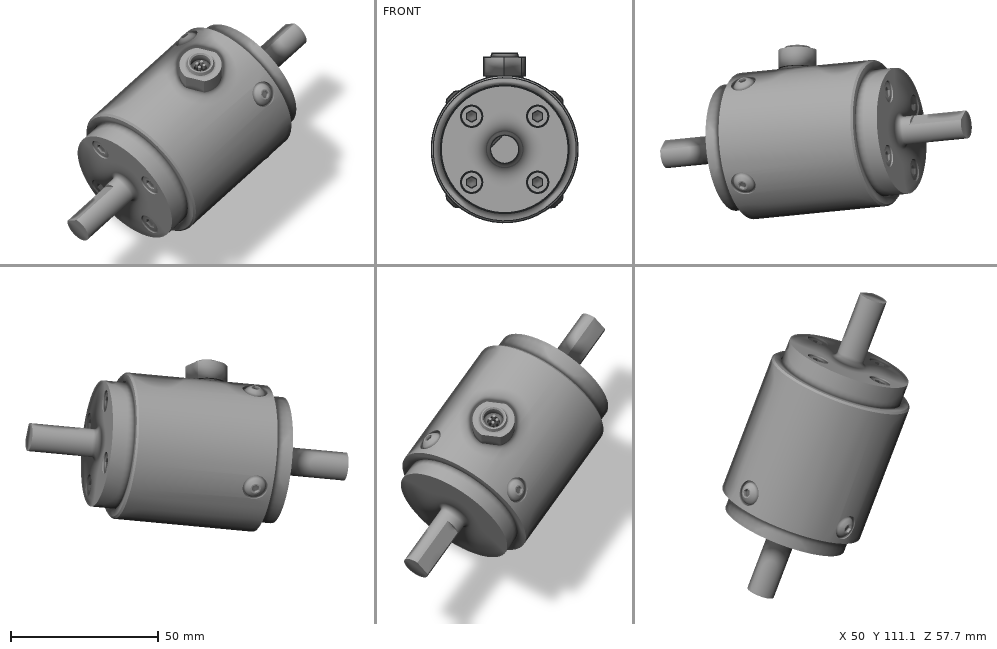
import cadquery as cq
import math

total_length = 111.1
body_radius = 25.0
body_front_y = -24.0
body_rear_y = 25.3
body_chamfer = 0.7
flange_radius = 21.6
flange_face_y = 31.7
flange_gap_width = 0.3
flange_gap_depth = 1.1

shaft_radius = 4.8
shaft_fillet = 1.5
shaft_flat_length = 18.9
shaft_flat_offset = 3.8
shaft_flat_angle = 45.0

cap_screw_offset = 11.2
cap_bore_diameter = 7.6
cap_head_diameter = 6.9
cap_bore_depth = 2.2
cap_head_recess = 0.5
cap_hex_flats = 3.5
cap_hex_depth = 1.7
cap_cone_depth = 1.2

button_y = 19.3
button_bore_diameter = 8.7
button_seat_radius = 23.8
button_head_diameter = 7.9
button_head_height = 2.2
button_top_diameter = 3.6
button_bulge = 0.28
button_hex_flats = 2.6
button_hex_depth = 1.3
button_angles = (45, 135, 225, 315)

hex_half_angle = 30.0

connector_y = 6.9
connector_top_z = 32.7
nut_top_z = 31.3
nut_bottom_z = 24.9
nut_diameter = 14.3
nut_flats = 12.8
nut_turn = 25.0
neck_diameter = 12.6
neck_bottom_z = 22.8
rim_base_diameter = 9.6
rim_top_diameter = 8.7
mouth_diameter = 7.9
bore_diameter = 6.9
bore_depth = 3.3
socket_diameter = 4.3
socket_depth = 2.2
pin_diameter = 1.01
pin_circle_diameter = 2.5
pin_count = 4
pin_recess = 1.1


def cylinder_y(radius, y_start, y_end):
    plane = cq.Workplane("XZ", origin=(0, y_start, 0))
    return plane.circle(radius).extrude(y_start - y_end)


def make_housing():
    body = cylinder_y(body_radius, body_front_y, body_rear_y).faces("<Y").chamfer(body_chamfer)
    gap = (
        cq.Workplane("XZ", origin=(0, body_front_y, 0))
        .circle(flange_radius + flange_gap_width)
        .circle(flange_radius)
        .extrude(-flange_gap_depth)
    )
    flanges = cylinder_y(flange_radius, -flange_face_y, flange_face_y)
    return body.union(flanges).cut(gap)


def make_shaft():
    half_length = total_length / 2
    fillet_radius = shaft_radius + shaft_fillet
    fillet_end_y = flange_face_y + shaft_fillet
    bow = shaft_fillet * (1 - math.sqrt(0.5))
    shaft = (
        cq.Workplane("XY")
        .moveTo(0, -half_length)
        .lineTo(shaft_radius, -half_length)
        .lineTo(shaft_radius, -fillet_end_y)
        .threePointArc((shaft_radius + bow, -flange_face_y - bow), (fillet_radius, -flange_face_y))
        .lineTo(fillet_radius, flange_face_y)
        .threePointArc((shaft_radius + bow, flange_face_y + bow), (shaft_radius, fillet_end_y))
        .lineTo(shaft_radius, half_length)
        .lineTo(0, half_length)
        .close()
        .revolve(360, (0, 0, 0), (0, 1, 0))
    )
    for side in (-1, 1):
        flat_center_y = side * (half_length - shaft_flat_length / 2)
        flat = (
            cq.Workplane("XY", origin=(0, flat_center_y, shaft_flat_offset))
            .box(2 * shaft_radius, shaft_flat_length, shaft_radius, centered=(True, True, False))
            .rotate((0, 0, 0), (0, 1, 0), -shaft_flat_angle)
        )
        shaft = shaft.cut(flat)
    return shaft


def make_cap_screw_cut():
    """Clearance ring, sunken head top and cone-bottomed hex socket, opening towards +Z at z = 0."""
    ring = (
        cq.Workplane("XY")
        .circle(cap_bore_diameter / 2)
        .circle(cap_head_diameter / 2)
        .extrude(-cap_bore_depth)
    )
    recess = cq.Workplane("XY").circle(cap_bore_diameter / 2).extrude(-cap_head_recess)
    corner_radius = cap_hex_flats / 2 / math.cos(math.radians(hex_half_angle))
    cone_top = -cap_head_recess - cap_hex_depth
    cone_bottom = cone_top - cap_cone_depth
    pointed_bore = (
        cq.Workplane("XZ")
        .lineTo(corner_radius, 0)
        .lineTo(corner_radius, cone_top)
        .lineTo(0, cone_bottom)
        .close()
        .revolve(360, (0, 0, 0), (0, 1, 0))
    )
    hexagon = cq.Workplane("XY").polygon(6, cap_hex_flats, circumscribed=True).extrude(cone_bottom)
    socket = hexagon.intersect(pointed_bore)
    return ring.union(recess).union(socket)


def cut_cap_screws(part):
    tool = make_cap_screw_cut().rotate((0, 0, 0), (1, 0, 0), 90)
    for x in (-cap_screw_offset, cap_screw_offset):
        for z in (-cap_screw_offset, cap_screw_offset):
            part = part.cut(tool.translate((x, -flange_face_y, z)))
    return part


def make_button_head():
    """Domed head standing on z = 0 with a hex socket in its top."""
    base_radius = button_head_diameter / 2
    top_radius = button_top_diameter / 2
    run = base_radius - top_radius
    chord = math.hypot(run, button_head_height)
    dome_middle = (
        (base_radius + top_radius) / 2 + button_bulge * button_head_height / chord,
        button_head_height / 2 + button_bulge * run / chord,
    )
    head = (
        cq.Workplane("XZ")
        .lineTo(base_radius, 0)
        .threePointArc(dome_middle, (top_radius, button_head_height))
        .lineTo(0, button_head_height)
        .close()
        .revolve(360, (0, 0, 0), (0, 1, 0))
    )
    socket = (
        cq.Workplane("XY", origin=(0, 0, button_head_height))
        .transformed(rotate=(0, 0, hex_half_angle))
        .polygon(6, button_hex_flats, circumscribed=True)
        .extrude(-button_hex_depth)
    )
    return head.cut(socket)


def add_button_screws(part):
    bore = cq.Workplane("XY").circle(button_bore_diameter / 2).extrude(body_radius)
    head = make_button_head()
    seat = (0, button_y, button_seat_radius)
    for angle in button_angles:
        part = part.cut(bore.translate(seat).rotate((0, 0, 0), (0, 1, 0), angle))
        part = part.union(head.translate(seat).rotate((0, 0, 0), (0, 1, 0), angle))
    return part


def disc(diameter, z_bottom, z_top):
    plane = cq.Workplane("XY", origin=(0, connector_y, z_bottom))
    return plane.circle(diameter / 2).extrude(z_top - z_bottom)


def cone_frustum(bottom_diameter, top_diameter, z_bottom, z_top):
    return cq.Workplane("XY").add(
        cq.Solid.makeCone(
            bottom_diameter / 2, top_diameter / 2, z_top - z_bottom, pnt=cq.Vector(0, connector_y, z_bottom)
        )
    )


def add_connector(part):
    nut_height = nut_top_z - nut_bottom_z
    flats = (
        cq.Workplane("XY", origin=(0, connector_y, nut_bottom_z))
        .transformed(rotate=(0, 0, nut_turn))
        .rect(nut_diameter, nut_flats)
        .extrude(nut_height)
    )
    nut = disc(nut_diameter, nut_bottom_z, nut_top_z).intersect(flats)
    part = part.union(disc(neck_diameter, neck_bottom_z, nut_top_z)).union(nut)
    part = part.union(cone_frustum(rim_base_diameter, rim_top_diameter, nut_top_z, connector_top_z))

    floor_z = connector_top_z - bore_depth
    socket_floor_z = floor_z - socket_depth
    mouth_z = connector_top_z - (mouth_diameter - bore_diameter) / 2
    part = part.cut(disc(bore_diameter, floor_z, connector_top_z))
    part = part.cut(cone_frustum(bore_diameter, mouth_diameter, mouth_z, connector_top_z))
    part = part.cut(disc(socket_diameter, socket_floor_z, floor_z))

    pins = (
        cq.Workplane("XY", origin=(0, connector_y, socket_floor_z))
        .polarArray(pin_circle_diameter / 2, nut_turn, 360, pin_count)
        .circle(pin_diameter / 2)
        .extrude(connector_top_z - pin_recess - socket_floor_z)
    )
    return part.union(pins)


result = make_housing().union(make_shaft())
result = cut_cap_screws(result)
result = add_button_screws(result)
result = add_connector(result)